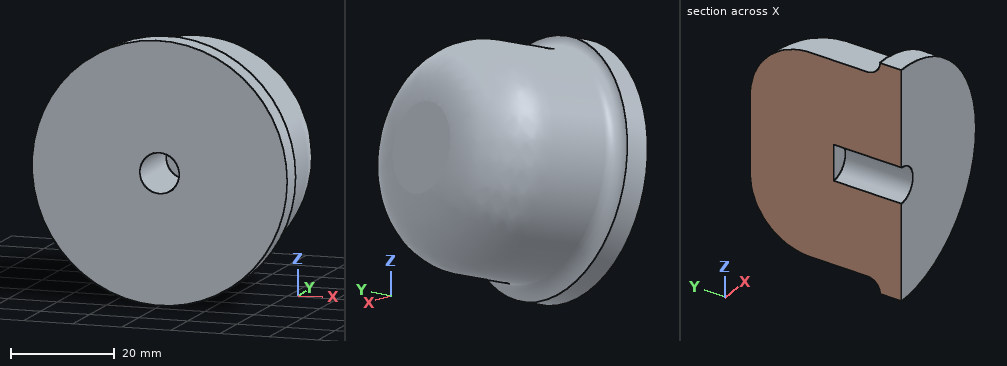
import cadquery as cq

flange_diameter = 52.0
flange_thickness = 5.0
body_diameter = 46.0
total_length = 35.0
dome_radius = 14.0
hole_diameter = 8.0
hole_depth = 15.6

flange_radius = flange_diameter / 2
body_radius = body_diameter / 2
root_radius = flange_radius - body_radius


def disc(diameter, length):
    """Cylinder along +Y with one end face on the plane Y = 0."""
    return cq.Workplane("XZ").circle(diameter / 2).extrude(-length)


def root_fillet_ring():
    """Ring with a concave quarter-circle flank between flange and body."""
    root_end = flange_thickness + root_radius
    profile = (
        cq.Workplane("XY")
        .moveTo(0, flange_thickness)
        .lineTo(flange_radius, flange_thickness)
        .radiusArc((body_radius, root_end), root_radius)
        .lineTo(0, root_end)
        .close()
    )
    return profile.revolve(360, (0, 0, 0), (0, 1, 0))


body = disc(body_diameter, total_length).faces(">Y").edges().fillet(dome_radius)
flange = disc(flange_diameter, flange_thickness)

hole = disc(hole_diameter, hole_depth)

result = body.union(flange).union(root_fillet_ring()).cut(hole)